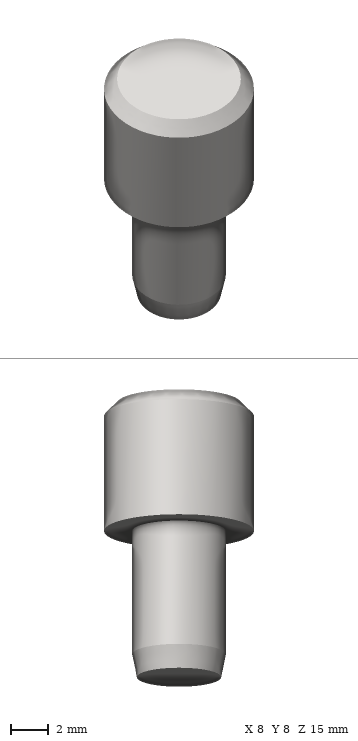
import cadquery as cq

head_diameter = 8.0
head_height = 7.0
head_chamfer = 0.7

shank_diameter = 5.0
shank_length = 8.0
lead_in_length = 1.25
tip_diameter = 4.5

head_radius = head_diameter / 2
shank_radius = shank_diameter / 2
tip_radius = tip_diameter / 2


def revolved_pin():
    """Half profile in the XZ plane, revolved about the Z axis."""
    return (
        cq.Workplane("XZ")
        .moveTo(0, -shank_length)
        .lineTo(tip_radius, -shank_length)
        .lineTo(shank_radius, lead_in_length - shank_length)
        .lineTo(shank_radius, 0)
        .lineTo(head_radius, 0)
        .lineTo(head_radius, head_height - head_chamfer)
        .lineTo(head_radius - head_chamfer, head_height)
        .lineTo(0, head_height)
        .close()
        .revolve(360, (0, 0, 0), (0, 1, 0))
    )


result = revolved_pin()